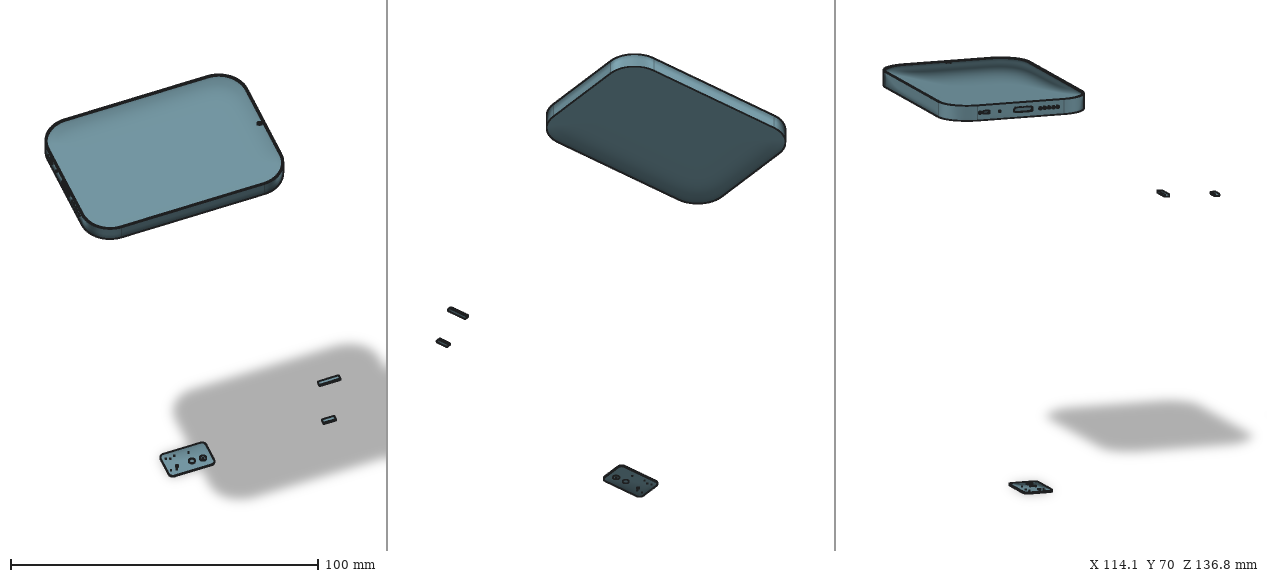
import cadquery as cq

TOTAL_HEIGHT = 136.8

HOUSING_WIDTH = 49.9
HOUSING_LENGTH = 70.0
HOUSING_HEIGHT = 5.0
HOUSING_CORNER_RADIUS = 10.0
RIM_WIDTH = 0.5
SCREEN_DEPTH = 0.25
SCREEN_Z = HOUSING_HEIGHT - SCREEN_DEPTH

CAMERA_DIAMETER = 1.5
CAMERA_DEPTH = 1.0
CAMERA_Y = 33.4

OPENING_DEPTH = 1.0
OPENING_Z = 2.6
PORT_X = 1.0
PORT_WIDTH = 6.5
PORT_HEIGHT = 1.6
SIDE_SLOT_X = -11.9
SIDE_SLOT_WIDTH = 2.5
SIDE_SLOT_HEIGHT = 1.03
SPEAKER_HOLE_DIAMETER = 0.89
SPEAKER_HOLE_COUNT = 5
SPEAKER_FIRST_X = 6.8
SPEAKER_PITCH = 1.5
OUTER_HOLE_X = -14.1
MICROPHONE_X = -7.2
MICROPHONE_DIAMETER = 0.62

BUTTON_WIDTH = 1.5
BUTTON_HEIGHT = 0.8
BUTTON_Z = -43.1
BUTTONS = [(72.8, 28.7, 7.5), (88.4, 22.4, 4.5)]

PLATE_WIDTH = 10.0
PLATE_LENGTH = 16.0
PLATE_THICKNESS = 0.5
PLATE_CORNER_RADIUS = 1.5
PLATE_X = 16.8
PLATE_Y = 1.4
PLATE_Z = HOUSING_HEIGHT - TOTAL_HEIGHT

RECESS_DEPTH = 0.3
LARGE_RECESS_X = 1.4
LARGE_RECESS_Y = 4.9
LARGE_RECESS_DIAMETER = 2.2
LARGE_RECESS_DIMPLE_DIAMETER = 0.4
LARGE_RECESS_DIMPLE_DEPTH = 0.1
SMALL_RECESS_X = 1.18
SMALL_RECESS_Y = 1.1
SMALL_RECESS_DIAMETER = 2.0
WIDE_HOLE_X = 1.4
WIDE_HOLE_Y = -4.2
WIDE_HOLE_DIAMETER = 0.8
PINHOLE_DIAMETER = 0.23
PINHOLES = [(-2.6, 1.4), (2.6, -4.8), (2.5, -6.7), (-3.0, -3.4), (-2.3, -5.0), (-2.9, -6.4)]


def rounded_plate(width, length, height, corner_radius):
    """Upright plate centred on Z, standing on Z = 0."""
    plate = cq.Workplane("XY").box(width, length, height, centered=(True, True, False))
    return plate.edges("|Z").fillet(corner_radius)


def sunk_cylinder(x, y, top_z, diameter, depth):
    """Vertical cutter reaching down from top_z."""
    return cq.Workplane("XY", origin=(x, y, top_z)).circle(diameter / 2).extrude(-depth)


def end_wall_plane(x):
    """Workplane on the -Y end wall, at the height of the openings."""
    return cq.Workplane("XZ", origin=(x, -HOUSING_LENGTH / 2, OPENING_Z))


def end_hole(x, diameter):
    return end_wall_plane(x).circle(diameter / 2).extrude(-OPENING_DEPTH)


def end_slot(x, width, height):
    return end_wall_plane(x).slot2D(width, height).extrude(-OPENING_DEPTH)


def make_housing():
    body = rounded_plate(HOUSING_WIDTH, HOUSING_LENGTH, HOUSING_HEIGHT, HOUSING_CORNER_RADIUS)

    screen = rounded_plate(
        HOUSING_WIDTH - 2 * RIM_WIDTH,
        HOUSING_LENGTH - 2 * RIM_WIDTH,
        SCREEN_DEPTH,
        HOUSING_CORNER_RADIUS - RIM_WIDTH,
    )
    body = body.cut(screen.translate((0, 0, SCREEN_Z)))
    body = body.cut(sunk_cylinder(0, CAMERA_Y, SCREEN_Z, CAMERA_DIAMETER, CAMERA_DEPTH))

    body = body.cut(end_slot(PORT_X, PORT_WIDTH, PORT_HEIGHT))
    body = body.cut(end_slot(SIDE_SLOT_X, SIDE_SLOT_WIDTH, SIDE_SLOT_HEIGHT))
    body = body.cut(end_hole(MICROPHONE_X, MICROPHONE_DIAMETER))
    body = body.cut(end_hole(OUTER_HOLE_X, SPEAKER_HOLE_DIAMETER))
    for i in range(SPEAKER_HOLE_COUNT):
        body = body.cut(end_hole(SPEAKER_FIRST_X + i * SPEAKER_PITCH, SPEAKER_HOLE_DIAMETER))
    return body


def make_button(x, y, length):
    start = cq.Workplane("YZ", origin=(x - BUTTON_WIDTH / 2, y, BUTTON_Z))
    return start.slot2D(length, BUTTON_HEIGHT).extrude(BUTTON_WIDTH)


def make_plate():
    body = rounded_plate(PLATE_WIDTH, PLATE_LENGTH, PLATE_THICKNESS, PLATE_CORNER_RADIUS)

    def sink(x, y, diameter, depth=RECESS_DEPTH):
        return sunk_cylinder(x, y, PLATE_THICKNESS, diameter, depth)

    dimple_depth = RECESS_DEPTH + LARGE_RECESS_DIMPLE_DEPTH
    body = body.cut(sink(LARGE_RECESS_X, LARGE_RECESS_Y, LARGE_RECESS_DIAMETER))
    body = body.cut(sink(LARGE_RECESS_X, LARGE_RECESS_Y, LARGE_RECESS_DIMPLE_DIAMETER, dimple_depth))
    body = body.cut(sink(SMALL_RECESS_X, SMALL_RECESS_Y, SMALL_RECESS_DIAMETER))

    body = body.cut(sink(WIDE_HOLE_X, WIDE_HOLE_Y, WIDE_HOLE_DIAMETER))
    for x, y in PINHOLES:
        body = body.cut(sink(x, y, PINHOLE_DIAMETER))
    return body.translate((PLATE_X, PLATE_Y, PLATE_Z))


housing = make_housing()
buttons = [make_button(x, y, length) for x, y, length in BUTTONS]
plate = make_plate()

result = cq.Compound.makeCompound(
    [housing.val(), *[button.val() for button in buttons], plate.val()]
)